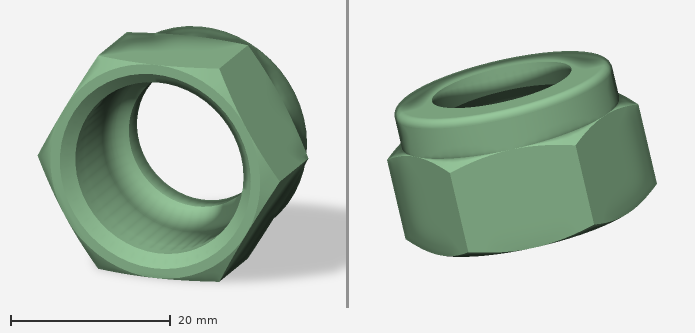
import cadquery as cq
import math

across_corners = 32.33
across_flats = across_corners * math.cos(math.radians(30))
total_length = 18.0
hex_length = 13.0
collar_fillet = 1.0
corner_chamfer_angle = math.radians(30)

mouth_radius = 12.75
thread_radius = 11.22
exit_radius = 9.0
seat_end_depth = 15.0
seat_round_radius = 3.0
seat_angle = math.radians(45)

flat_radius = across_flats / 2
corner_radius = across_corners / 2
front_y = -total_length / 2
hex_end_y = front_y + hex_length
back_y = total_length / 2


def revolve_about_y(profile):
    """Turn a closed (radius, y) profile into a solid about the Y axis."""
    return profile.close().revolve(360, (0, 0, 0), (0, 1, 0))


def make_hexagon():
    """Hexagonal prism with its corners turned down to the flats at both ends."""
    prism = (
        cq.Workplane("XZ", origin=(0, hex_end_y, 0))
        .polygon(6, across_corners)
        .extrude(hex_length)
    )
    chamfer_length = (corner_radius - flat_radius) * math.tan(corner_chamfer_angle)
    envelope = revolve_about_y(
        cq.Workplane("XY")
        .moveTo(0, front_y)
        .lineTo(flat_radius, front_y)
        .lineTo(corner_radius, front_y + chamfer_length)
        .lineTo(corner_radius, hex_end_y - chamfer_length)
        .lineTo(flat_radius, hex_end_y)
        .lineTo(0, hex_end_y)
    )
    return prism.intersect(envelope)


def make_collar():
    """Round collar behind the hexagon, with a rounded outer edge."""
    collar = (
        cq.Workplane("XZ", origin=(0, back_y, 0))
        .circle(flat_radius)
        .extrude(back_y - hex_end_y)
    )
    return collar.faces(">Y").edges().fillet(collar_fillet)


def make_bore():
    """Conical mouth, straight bore blended into a conical seat, and exit hole."""
    mouth_cone_length = mouth_radius - thread_radius

    round_center_radius = thread_radius - seat_round_radius
    seat_radius = round_center_radius + seat_round_radius * math.cos(seat_angle)
    seat_cone_length = (seat_radius - exit_radius) / math.tan(seat_angle)
    seat_end_y = front_y + seat_end_depth
    seat_y = seat_end_y - seat_cone_length
    thread_end_y = seat_y - seat_round_radius * math.sin(seat_angle)
    round_middle = (
        round_center_radius + seat_round_radius * math.cos(seat_angle / 2),
        thread_end_y + seat_round_radius * math.sin(seat_angle / 2),
    )
    return revolve_about_y(
        cq.Workplane("XY")
        .moveTo(0, front_y)
        .lineTo(mouth_radius, front_y)
        .lineTo(thread_radius, front_y + mouth_cone_length)
        .lineTo(thread_radius, thread_end_y)
        .threePointArc(round_middle, (seat_radius, seat_y))
        .lineTo(exit_radius, seat_end_y)
        .lineTo(exit_radius, back_y)
        .lineTo(0, back_y)
    )


result = make_hexagon().union(make_collar()).cut(make_bore())